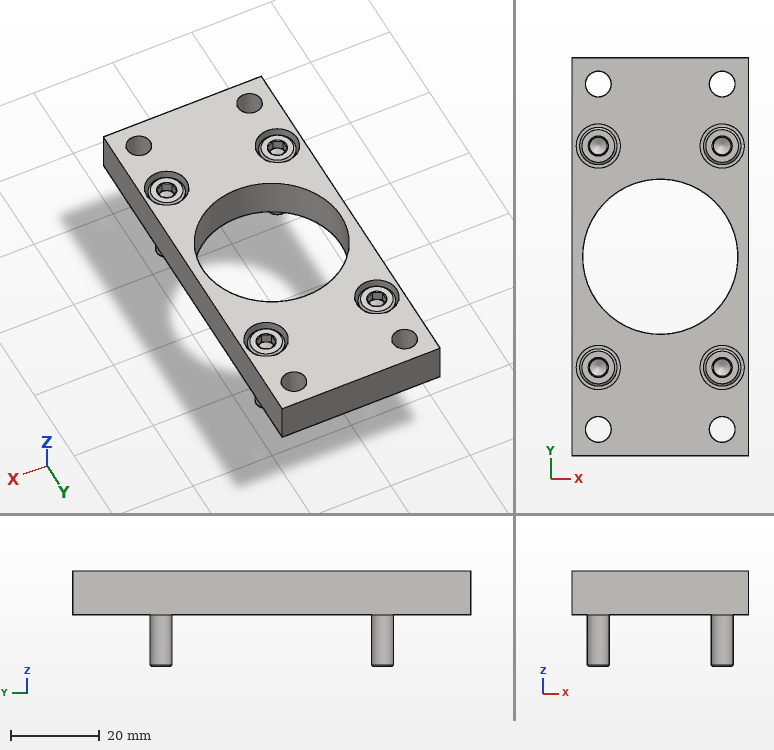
import cadquery as cq
import math

PLATE_LENGTH = 90.0
PLATE_WIDTH = 40.0
PLATE_THICKNESS = 10.0
CENTRE_BORE_DIAMETER = 35.0

HOLE_SPACING_X = 28.0
CORNER_SPACING_Y = 78.0
SCREW_SPACING_Y = 50.0
CORNER_HOLE_DIAMETER = 5.8
COUNTERBORE_DIAMETER = 10.0

SHANK_DIAMETER = 5.0
SHANK_TIP_CHAMFER = 0.45
SHANK_PROTRUSION = 11.7
HEAD_DIAMETER = 8.5
HEAD_HEIGHT = 5.0
HEAD_EDGE_CHAMFER = 0.5
HEAD_RECESS = 0.7
HEXAGON_SIDES = 6
SOCKET_ACROSS_FLATS = 4.0
SOCKET_DEPTH = 2.5
SOCKET_TURN = 30.0
SOCKET_CONE_ANGLE = 120.0

COUNTERBORE_DEPTH = HEAD_HEIGHT + HEAD_RECESS
SEAT_Z = PLATE_THICKNESS - COUNTERBORE_DEPTH
SHANK_LENGTH = SEAT_Z + SHANK_PROTRUSION
SOCKET_ACROSS_CORNERS = SOCKET_ACROSS_FLATS / math.cos(math.pi / HEXAGON_SIDES)
SOCKET_FLOOR_RADIUS = SOCKET_ACROSS_FLATS / 2
SOCKET_MOUTH_RADIUS = SOCKET_ACROSS_CORNERS / 2
SOCKET_FLOOR_Z = HEAD_HEIGHT - SOCKET_DEPTH


def rectangular_pattern(spacing_y):
    """Return the four XY points of a pattern centred on the plate."""
    return [
        (side_x * HOLE_SPACING_X / 2, side_y * spacing_y / 2)
        for side_x in (-1, 1)
        for side_y in (-1, 1)
    ]


SCREW_POINTS = rectangular_pattern(SCREW_SPACING_Y)
CORNER_POINTS = rectangular_pattern(CORNER_SPACING_Y)


def make_plate():
    """Plate with a centre bore, corner holes and counterbored screw holes."""
    plate = cq.Workplane("XY").box(
        PLATE_WIDTH, PLATE_LENGTH, PLATE_THICKNESS, centered=(True, True, False)
    )
    top = plate.faces(">Z").workplane(origin=(0, 0, PLATE_THICKNESS)).tag("top")
    return (
        top.hole(CENTRE_BORE_DIAMETER)
        .workplaneFromTagged("top")
        .pushPoints(CORNER_POINTS)
        .hole(CORNER_HOLE_DIAMETER)
        .workplaneFromTagged("top")
        .pushPoints(SCREW_POINTS)
        .cboreHole(SHANK_DIAMETER, COUNTERBORE_DIAMETER, COUNTERBORE_DEPTH)
    )


def make_cone(radius, base_z):
    """Downward-pointing cone whose base circle lies at base_z."""
    height = radius / math.tan(math.radians(SOCKET_CONE_ANGLE / 2))
    base_centre = cq.Vector(0, 0, base_z)
    downward = cq.Vector(0, 0, -1)
    return cq.Workplane(cq.Solid.makeCone(radius, 0, height, pnt=base_centre, dir=downward))


def make_socket():
    """Hexagonal socket with a conical floor and a countersunk mouth."""
    hexagon = (
        cq.Workplane("XY")
        .workplane(offset=SOCKET_FLOOR_Z)
        .polygon(HEXAGON_SIDES, SOCKET_ACROSS_CORNERS)
        .extrude(SOCKET_DEPTH)
        .rotate((0, 0, 0), (0, 0, 1), SOCKET_TURN)
    )
    floor = make_cone(SOCKET_FLOOR_RADIUS, SOCKET_FLOOR_Z)
    mouth = make_cone(SOCKET_MOUTH_RADIUS, HEAD_HEIGHT)
    return hexagon.union(floor).union(mouth)


def make_screw():
    """Socket head screw along Z, with the underside of its head at Z = 0."""
    head = (
        cq.Workplane("XY")
        .circle(HEAD_DIAMETER / 2)
        .extrude(HEAD_HEIGHT)
        .faces(">Z")
        .chamfer(HEAD_EDGE_CHAMFER)
    )
    shank = (
        cq.Workplane("XY")
        .circle(SHANK_DIAMETER / 2)
        .extrude(-SHANK_LENGTH)
        .faces("<Z")
        .chamfer(SHANK_TIP_CHAMFER)
    )
    return head.union(shank).cut(make_socket())


plate = make_plate()

screw = make_screw()
screws = []
for x, y in SCREW_POINTS:
    screws.append(screw.translate((x, y, SEAT_Z)).val())

result = cq.Compound.makeCompound([plate.val(), *screws])